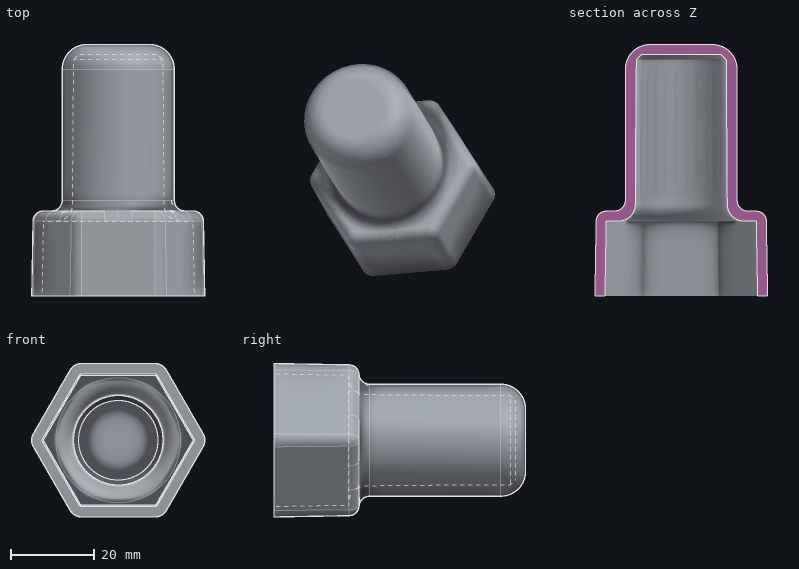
import cadquery as cq
import math

total_length = 60.5
wall = 2.5

hex_sides = 6
hex_draft = 1.0
hex_length = 20.5
hex_shoulder_radius = 2.5
pocket_across_flats = 31.2
pocket_corner_radius = 0.3
pocket_depth = hex_length - wall

tube_radius = 13.5
dome_radius = 6.0
neck_radius = 2.5

flare_mouth_radius = 15.0
flare_radius = 4.0
bore_entry_radius = flare_mouth_radius - flare_radius
bore_floor_radius = 10.75
floor_chamfer = 1.2
bore_end = total_length - wall


def tapered_hexagon(end_apothem, end_corner_radius, length):
    """Rounded hexagonal prism from Y = 0 towards +Y, narrowing with the draft to its end sizes."""
    flare = length * math.tan(math.radians(hex_draft))
    circumradius = (end_apothem + flare) / math.cos(math.pi / hex_sides)
    outline = (
        cq.Sketch()
        .regularPolygon(circumradius, hex_sides)
        .vertices()
        .fillet(end_corner_radius + flare)
    )
    return cq.Workplane("ZX").placeSketch(outline).extrude(length, taper=hex_draft)


def make_tube():
    """Solid cylinder starting on the pocket floor, with a rounded far end."""
    tube = (
        cq.Workplane("ZX", origin=(0, pocket_depth, 0))
        .circle(tube_radius)
        .extrude(total_length - pocket_depth)
    )
    return tube.faces(">Y").edges().fillet(dome_radius)


def shoulder_edges(body, loop):
    """Edges of one boundary loop of the flat shoulder: 0 is round the tube, -1 is the outer rim."""
    shoulder = body.faces("+Y").faces("<Y")
    return shoulder.wires(cq.selectors.LengthNthSelector(loop)).edges()


def make_body():
    """Hexagonal socket and tube, blended first at the neck and then around the shoulder."""
    socket = tapered_hexagon(pocket_across_flats / 2 + wall, pocket_corner_radius + wall, hex_length)
    body = socket.union(make_tube())
    body = shoulder_edges(body, 0).fillet(neck_radius)
    return shoulder_edges(body, -1).fillet(hex_shoulder_radius)


def make_bore():
    """Solid of revolution about Y that hollows the tube."""
    arc_reach = flare_radius * (1 - math.sin(math.pi / 4))
    profile = (
        cq.Workplane("XY")
        .moveTo(0, pocket_depth)
        .lineTo(flare_mouth_radius, pocket_depth)
        .threePointArc(
            (bore_entry_radius + arc_reach, pocket_depth + arc_reach),
            (bore_entry_radius, pocket_depth + flare_radius),
        )
        .lineTo(bore_floor_radius, bore_end - floor_chamfer)
        .lineTo(bore_floor_radius - floor_chamfer, bore_end)
        .lineTo(0, bore_end)
        .close()
    )
    return profile.revolve(360, (0, 0, 0), (0, 1, 0))


pocket = tapered_hexagon(pocket_across_flats / 2, pocket_corner_radius, pocket_depth)
result = make_body().cut(pocket).cut(make_bore())